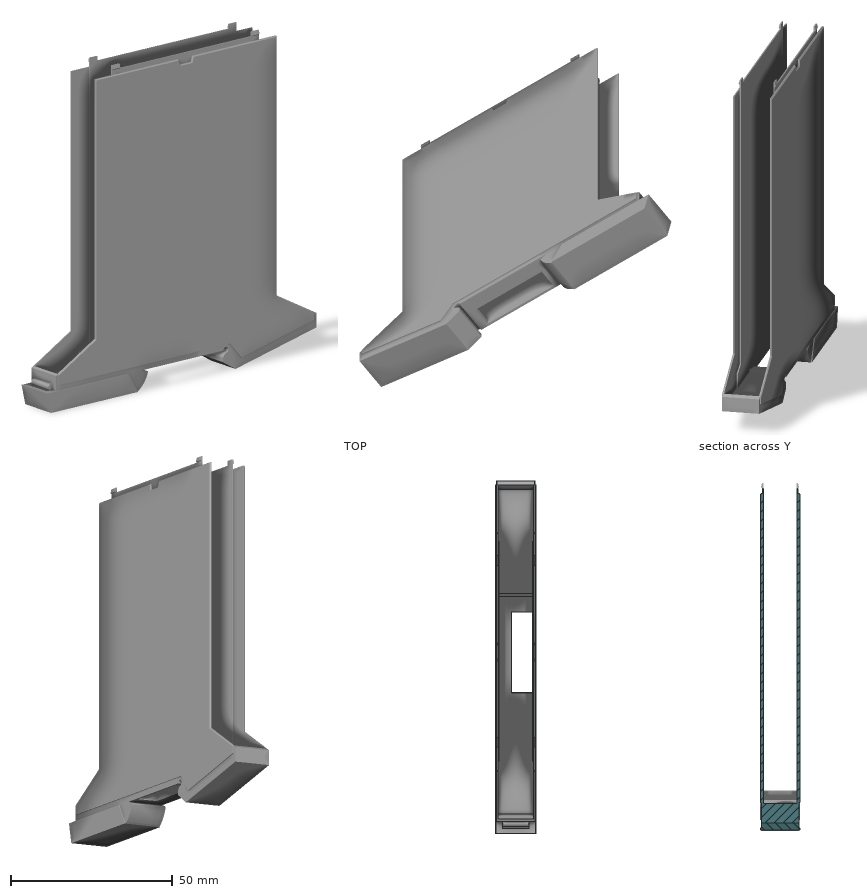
import cadquery as cq

PANEL_INNER = 5.1
PLATE_INNER = 5.6
BASE_HALF = 5.9
PLATE_OUTER = 6.2
OVERLAP = 0.1

UNDERSIDE = 6.9
FLOOR = 8.6
END_TOP = 11.8
FLARE_TOP = 20.7
PLATE_TOP = 104.7
PANEL_TOP = 106.2
TOP = 107.8

REAR_END = 54.6
FRONT_END = -50.8
REAR_SIDE = 38.4
FRONT_SIDE = -35.1
REAR_PLATE_END = 53.5
FRONT_PLATE_END = -50.1
FOOT_END = -54.6

WALL_DRAFT = 1.4
PLATE_BOTTOM = 8.7
REAR_PLATE_CORNER_Z = 10.0
PLATE_TIP = (23.9, 3.4)
PLATE_BEND_Y = 19.3
EDGE_CHAMFER = 0.3
NOTCH_CENTER = 1.6
NOTCH_TOP_WIDTH = 5.7
NOTCH_BOTTOM_WIDTH = 4.4
NOTCH_DEPTH = 1.9

PANEL_CENTER = 1.9
PANEL_HALF = 29.7
PANEL_WIDE_HALF = 34.0
PANEL_SHOULDER_LOW = 13.2
PANEL_SHOULDER_HIGH = 15.0
LIP_LENGTH = 3.1
LIP_EDGE = 106.6

HOOK_TIP_Y = 21.9
HOOK_NOSE_Y = 16.8
HOOK_NOSE_LOW = 3.2
HOOK_NOSE_HIGH = 4.6
HOOK_NOSE_ARC = (17.4, 5.5)
HOOK_POCKET_ARC = (18.7, 7.5)
HOOK_THROAT = (18.6, 6.1)
HOOK_ROOT = (16.9, UNDERSIDE)
REAR_CORNER_Z = 7.1
RIB_Y = PLATE_BEND_Y
RIB_WIDTH = 0.9
RIB_HEIGHT = 0.9

WINDOW_X = (-1.3, PANEL_INNER)
WINDOW_Y = (-10.9, 14.0)

TAB_HALF = 4.0
TAB_TOP = 8.9
TAB_NOSE = -52.5
TAB_SHOULDER = -51.7
RECESS_END = -53.1
RECESS_DEPTH = 0.5

FOOT_BOTTOM = 0.3
FOOT_BOTTOM_END = -53.1
FOOT_HOOK_TIP = (-17.2, 0.8)
FOOT_HOOK_ARC = (-14.9, 3.2)
FOOT_HOOK_NOSE_Y = -13.7
FOOT_HOOK_NOSE_LOW = 5.7
FOOT_HOOK_NOSE_HIGH = 6.1
BEVEL_TOP = (-21.9, UNDERSIDE)
BEVEL_BOTTOM = (-17.9, FOOT_BOTTOM)
WEDGE_TOP_Y = -15.8
WEDGE_TIP_Y = -17.4
WEDGE_TIP_Z = 2.5


def bevel_y(z):
    """Y of the slanted line between the wedge and the foot's cheeks at height z."""
    share = (z - BEVEL_BOTTOM[1]) / (BEVEL_TOP[1] - BEVEL_BOTTOM[1])
    return BEVEL_BOTTOM[0] + share * (BEVEL_TOP[0] - BEVEL_BOTTOM[0])


def flare_z(y, end, side):
    """Height of a flare edge at y, between its end wall and its upright side."""
    return END_TOP + (y - end) / (side - end) * (FLARE_TOP - END_TOP)


def extrude_x(profile, x_low, x_high):
    """Extrude a sketched YZ profile from x_low to x_high."""
    return profile.extrude(x_high - x_low).translate((x_low, 0, 0))


def yz_prism(points, x_low, x_high):
    return extrude_x(cq.Workplane("YZ").polyline(points).close(), x_low, x_high)


def block(x_range, y_range, z_range):
    size = [high - low for low, high in (x_range, y_range, z_range)]
    corner = (x_range[0], y_range[0], z_range[0])
    return cq.Workplane("XY").box(*size, centered=False).translate(corner)


def make_base():
    """Trough with drafted end walls, and the fixed rail hook under it."""
    front_rim = (FRONT_PLATE_END, flare_z(FRONT_PLATE_END, FRONT_END, FRONT_SIDE))
    rear_rim = (REAR_PLATE_END, flare_z(REAR_PLATE_END, REAR_END, REAR_SIDE))
    profile = (
        cq.Workplane("YZ")
        .moveTo(FRONT_END, UNDERSIDE)
        .lineTo(FRONT_END, END_TOP)
        .lineTo(*front_rim)
        .lineTo(*rear_rim)
        .lineTo(REAR_END, END_TOP)
        .lineTo(REAR_END, REAR_CORNER_Z)
        .lineTo(HOOK_TIP_Y, 0)
        .lineTo(HOOK_NOSE_Y, HOOK_NOSE_LOW)
        .lineTo(HOOK_NOSE_Y, HOOK_NOSE_HIGH)
        .threePointArc(HOOK_NOSE_ARC, HOOK_THROAT)
        .threePointArc(HOOK_POCKET_ARC, HOOK_ROOT)
        .close()
    )
    cavity = [
        front_rim,
        (FRONT_PLATE_END + WALL_DRAFT, FLOOR),
        (REAR_PLATE_END - WALL_DRAFT, FLOOR),
        rear_rim,
        (REAR_PLATE_END, FLARE_TOP),
        (FRONT_PLATE_END, FLARE_TOP),
    ]
    solid_base = extrude_x(profile, -BASE_HALF, BASE_HALF)
    return solid_base.cut(yz_prism(cavity, -PLATE_INNER, PLATE_INNER))


def make_wedge():
    """Wedge under the base that the foot's hook grips."""
    points = [
        (WEDGE_TOP_Y, UNDERSIDE + OVERLAP),
        (WEDGE_TOP_Y, UNDERSIDE),
        (WEDGE_TIP_Y, WEDGE_TIP_Z),
        (bevel_y(WEDGE_TIP_Z), WEDGE_TIP_Z),
        BEVEL_TOP,
        (BEVEL_TOP[0], UNDERSIDE + OVERLAP),
    ]
    return yz_prism(points, -BASE_HALF, BASE_HALF)


def make_plate():
    """Side plate on the +X side, with a chamfered outer upper edge."""
    points = [
        (FRONT_PLATE_END, PLATE_BOTTOM),
        (FRONT_PLATE_END, flare_z(FRONT_PLATE_END, FRONT_END, FRONT_SIDE)),
        (FRONT_SIDE, FLARE_TOP),
        (FRONT_SIDE, PLATE_TOP),
        (NOTCH_CENTER - NOTCH_TOP_WIDTH / 2, PLATE_TOP),
        (NOTCH_CENTER - NOTCH_BOTTOM_WIDTH / 2, PLATE_TOP - NOTCH_DEPTH),
        (NOTCH_CENTER + NOTCH_BOTTOM_WIDTH / 2, PLATE_TOP - NOTCH_DEPTH),
        (NOTCH_CENTER + NOTCH_TOP_WIDTH / 2, PLATE_TOP),
        (REAR_SIDE, PLATE_TOP),
        (REAR_SIDE, FLARE_TOP),
        (REAR_PLATE_END, flare_z(REAR_PLATE_END, REAR_END, REAR_SIDE)),
        (REAR_PLATE_END, REAR_PLATE_CORNER_Z),
        PLATE_TIP,
        (PLATE_BEND_Y, PLATE_BOTTOM),
    ]
    plate = yz_prism(points, PLATE_INNER, PLATE_OUTER)
    upper_edges = cq.selectors.BoxSelector(
        (PLATE_OUTER - OVERLAP, FRONT_END, END_TOP),
        (PLATE_OUTER + OVERLAP, REAR_END, TOP),
    )
    return plate.faces(">X").edges(upper_edges).chamfer(EDGE_CHAMFER)


def make_panel():
    """Thin liner on the inner face of the +X plate, wider near the floor."""
    half_outline = [
        (PANEL_WIDE_HALF, FLOOR - OVERLAP),
        (PANEL_WIDE_HALF, PANEL_SHOULDER_LOW),
        (PANEL_HALF, PANEL_SHOULDER_HIGH),
        (PANEL_HALF, PANEL_TOP),
    ]
    right_side = [(PANEL_CENTER + y, z) for y, z in half_outline]
    left_side = [(PANEL_CENTER - y, z) for y, z in reversed(half_outline)]
    panel = yz_prism(right_side + left_side, PANEL_INNER, PLATE_INNER)
    for lip_start in (PANEL_CENTER - PANEL_HALF, PANEL_CENTER + PANEL_HALF - LIP_LENGTH):
        panel = panel.union(make_lip(lip_start))
    return panel


def make_lip(y_start):
    """Snap lip on top of the panel, leaning outward to an edge."""
    points = [
        (PANEL_INNER, PANEL_TOP - OVERLAP),
        (PLATE_INNER, PANEL_TOP - OVERLAP),
        (PLATE_INNER, PANEL_TOP),
        (BASE_HALF, LIP_EDGE),
        (PLATE_INNER, TOP),
        (PANEL_INNER, TOP),
    ]
    lip = cq.Workplane("XZ").polyline(points).close().extrude(-LIP_LENGTH)
    return lip.translate((0, y_start, 0))


def make_tab():
    """Rounded tab on the front end wall."""
    profile = (
        cq.Workplane("YZ")
        .moveTo(FRONT_END + OVERLAP, TAB_TOP)
        .lineTo(TAB_SHOULDER, TAB_TOP)
        .threePointArc((TAB_NOSE, (TAB_TOP + UNDERSIDE) / 2), (TAB_SHOULDER, UNDERSIDE))
        .lineTo(FRONT_END + OVERLAP, UNDERSIDE)
        .close()
    )
    return extrude_x(profile, -TAB_HALF, TAB_HALF)


def make_housing():
    rib_y = (RIB_Y - RIB_WIDTH / 2, RIB_Y + RIB_WIDTH / 2)
    rib = block((-PLATE_INNER, PLATE_INNER), rib_y, (FLOOR - OVERLAP, FLOOR + RIB_HEIGHT))
    window = block(WINDOW_X, WINDOW_Y, (UNDERSIDE - OVERLAP, FLOOR + OVERLAP))
    side = make_plate().union(make_panel())
    body = make_base().union(make_wedge()).union(rib).union(make_tab())
    return body.union(side).union(side.mirror("YZ")).cut(window)


def make_foot():
    """Sliding foot: wide cheeks behind the bevel, narrower hook in front of it."""
    cheeks = yz_prism(
        [BEVEL_TOP, (FOOT_END, UNDERSIDE), (FOOT_BOTTOM_END, FOOT_BOTTOM), BEVEL_BOTTOM],
        -PLATE_OUTER, PLATE_OUTER,
    )
    hook = (
        cq.Workplane("YZ")
        .moveTo(WEDGE_TOP_Y, UNDERSIDE)
        .lineTo(WEDGE_TIP_Y, WEDGE_TIP_Z)
        .lineTo(bevel_y(WEDGE_TIP_Z), WEDGE_TIP_Z)
        .lineTo(*BEVEL_BOTTOM)
        .lineTo(*FOOT_HOOK_TIP)
        .threePointArc(FOOT_HOOK_ARC, (FOOT_HOOK_NOSE_Y, FOOT_HOOK_NOSE_LOW))
        .lineTo(FOOT_HOOK_NOSE_Y, FOOT_HOOK_NOSE_HIGH)
        .close()
    )
    recess = block(
        (-TAB_HALF, TAB_HALF), (RECESS_END, TAB_SHOULDER), (UNDERSIDE - RECESS_DEPTH, UNDERSIDE)
    )
    return cheeks.union(extrude_x(hook, -BASE_HALF, BASE_HALF)).cut(recess)


housing = make_housing()
foot = make_foot()
result = cq.Compound.makeCompound([housing.val(), foot.val()])